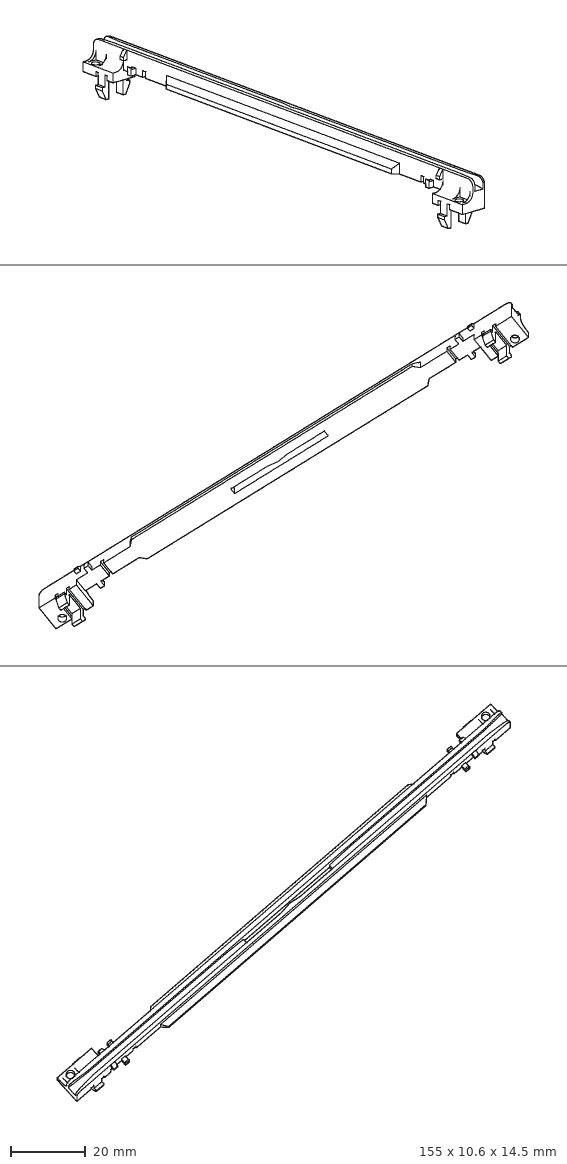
import cadquery as cq

length = 155.0
half_length = length / 2

bar_width = 4.2
bar_back = bar_width / 2
bar_front = -bar_width / 2
bar_top = 14.5
bar_bottom = 8.5
corner_radius = 2.0

back_wall = 1.1
front_wall = 1.32
channel_back = bar_back - back_wall
channel_front = bar_front + front_wall
channel_floor = 12.5
end_ramp_length = 6.7
end_ramp_drop = 1.2
end_flare = 0.55
window_half_length = 15.3
window_ramp_length = 7.0
bump_half_length = 3.4
bump_depth = 0.5

rail_reach = 1.5
rail_half_length = 47.6
rail_top = 11.6
rail_edge_top = 9.9

barb_start = 12.2
barb_length = 1.4
barb_reach = 1.16
barb_edge_top = 12.7
barb_bottom = 11.8
post_start = 16.0
post_length = 1.4
post_reach = 1.7
post_top = 10.4
post_lip_width = 0.5
post_lip_height = 0.5
notch_start = 20.2
notch_length = 1.1
notch_top = 10.4

foot_depth = 7.9
foot_length = 12.2
foot_bottom = 5.7
foot_front = bar_back - foot_depth
web_radius = 2.6
end_rib_length = 1.1
web_start = 5.3
screw_hole_diameter = 2.3
screw_hole_from_end = 3.3
screw_hole_from_front = 1.7

leg_start = 6.2
leg_width = 2.8
leg_thickness = 1.4
leg_relief_width = 1.0
leg_relief_top = 7.1
leg_hook_reach = 1.0
leg_hook_top = 3.7
leg_hook_edge = 2.8
leg_tip_inset = 0.5


def box(x_start, x_end, y_start, y_end, z_start, z_end):
    """Block between two opposite corners."""
    size = (x_end - x_start, y_end - y_start, z_end - z_start)
    return cq.Workplane("XY").box(*size, centered=False).translate((x_start, y_start, z_start))


def extrude_along_x(points, x_start, x_length):
    """Prism of a closed (y, z) outline."""
    return cq.Workplane("YZ").workplane(offset=x_start).polyline(points).close().extrude(x_length)


def on_both_sides(points, x_start, x_length):
    """Prism of a (reach, z) outline on the back of the bar, and its mirror image on the front.

    Reach is measured outwards from the side of the bar."""
    outline = [(bar_back + reach, z) for reach, z in points]
    prism = extrude_along_x(outline, x_start, x_length)
    return prism.union(prism.mirror("XZ"))


def from_end(distance):
    """X of a point at this distance from the left end."""
    return distance - half_length


def bar():
    block = box(-half_length, half_length, bar_front, bar_back, bar_bottom, bar_top)
    return block.edges("|Y and >Z").fillet(corner_radius)


def channel():
    """Channel with ramps down to both ends and down to the open window in the middle."""
    ramp_slope = end_ramp_drop / end_ramp_length
    window_ramp_bottom = channel_floor - ramp_slope * window_ramp_length
    window_ramp_top_x = window_half_length + window_ramp_length
    right_side = [
        (window_half_length, bar_bottom),
        (window_half_length, window_ramp_bottom),
        (window_ramp_top_x, channel_floor),
        (half_length - end_ramp_length, channel_floor),
        (half_length, channel_floor - end_ramp_drop),
        (half_length, bar_top),
    ]
    left_side = [(-x, z) for x, z in reversed(right_side)]
    flare_start = half_length - end_ramp_length
    wide_back = channel_back + end_flare
    wide_front = channel_front - end_flare
    profile = (
        cq.Workplane("XZ", origin=(0, wide_back, 0))
        .polyline(right_side + left_side)
        .close()
        .extrude(wide_back - wide_front)
    )
    plan = [
        (-half_length, wide_back),
        (-flare_start, channel_back),
        (-bump_half_length, channel_back),
        (0, channel_back - bump_depth),
        (bump_half_length, channel_back),
        (flare_start, channel_back),
        (half_length, wide_back),
        (half_length, wide_front),
        (flare_start, channel_front),
        (-flare_start, channel_front),
        (-half_length, wide_front),
    ]
    outline = (
        cq.Workplane("XY", origin=(0, 0, bar_bottom))
        .polyline(plan)
        .close()
        .extrude(bar_top - bar_bottom)
    )
    return profile.intersect(outline)


def rails():
    """Rail on each side of the bar, with a sloped top and ends cut at 45 degrees."""
    outline = [(0, bar_bottom), (rail_reach, bar_bottom), (rail_reach, rail_edge_top), (0, rail_top)]
    prisms = on_both_sides(outline, -rail_half_length, 2 * rail_half_length)
    outer_half_length = rail_half_length - rail_reach
    outer_y = bar_back + rail_reach
    plan = [
        (-rail_half_length, bar_back),
        (-outer_half_length, outer_y),
        (outer_half_length, outer_y),
        (rail_half_length, bar_back),
        (rail_half_length, bar_front),
        (outer_half_length, -outer_y),
        (-outer_half_length, -outer_y),
        (-rail_half_length, bar_front),
    ]
    ends = cq.Workplane("XY", origin=(0, 0, bar_bottom)).polyline(plan).close()
    return prisms.intersect(ends.extrude(rail_top - bar_bottom))


def barbs():
    """Snap barb on each side of the bar, sloping out from the top edge."""
    outline = [(0, barb_bottom), (barb_reach, barb_bottom), (barb_reach, barb_edge_top), (0, bar_top)]
    return on_both_sides(outline, from_end(barb_start), barb_length)


def posts():
    """Short post on each side of the bar, with a raised lip at its outer edge."""
    outline = [
        (0, bar_bottom),
        (post_reach, bar_bottom),
        (post_reach, post_top + post_lip_height),
        (post_reach - post_lip_width, post_top),
        (0, post_top),
    ]
    return on_both_sides(outline, from_end(post_start), post_length)


def notch():
    """Narrow notch across the underside of the bar."""
    start = from_end(notch_start)
    return box(start, start + notch_length, bar_front, bar_back, bar_bottom, notch_top)


def concave_web(start, end):
    """Web with a hollow round face between the bar front and the foot top."""
    return (
        cq.Workplane("YZ", origin=(from_end(start), 0, 0))
        .moveTo(bar_front, bar_bottom)
        .lineTo(bar_front, bar_bottom + web_radius)
        .radiusArc((bar_front - web_radius, bar_bottom), web_radius)
        .close()
        .extrude(end - start)
    )


def foot():
    """Foot with a screw hole, leg relief slots and two webs up to the bar."""
    block = box(from_end(0), from_end(foot_length), foot_front, bar_back, foot_bottom, bar_bottom)
    hole = (
        cq.Workplane("XY", origin=(0, 0, foot_bottom))
        .center(from_end(screw_hole_from_end), foot_front + screw_hole_from_front)
        .circle(screw_hole_diameter / 2)
        .extrude(bar_bottom - foot_bottom)
    )
    block = block.cut(hole)
    for relief_start in (leg_start - leg_relief_width, leg_start + leg_width):
        start = from_end(relief_start)
        block = block.cut(
            box(start, start + leg_relief_width, foot_front, bar_back, foot_bottom, leg_relief_top)
        )
    block = block.union(concave_web(0, end_rib_length))
    return block.union(concave_web(web_start, foot_length))


def legs():
    """Two snap legs with hooks facing away from each other, flush with the foot sides."""
    outline = [
        (-leg_thickness, foot_bottom),
        (-leg_thickness, 0),
        (-leg_tip_inset, 0),
        (leg_hook_reach, leg_hook_edge),
        (leg_hook_reach, leg_hook_top),
        (0, leg_hook_top),
        (0, foot_bottom),
    ]
    back_outline = [(bar_back + out, z) for out, z in outline]
    front_outline = [(foot_front - out, z) for out, z in outline]
    back_leg = extrude_along_x(back_outline, from_end(leg_start), leg_width)
    front_leg = extrude_along_x(front_outline, from_end(leg_start), leg_width)
    return back_leg.union(front_leg)


result = bar().union(rails())
for feature in (barbs(), posts(), foot(), legs()):
    result = result.union(feature).union(feature.mirror("YZ"))
result = result.cut(channel())
result = result.cut(notch()).cut(notch().mirror("YZ"))